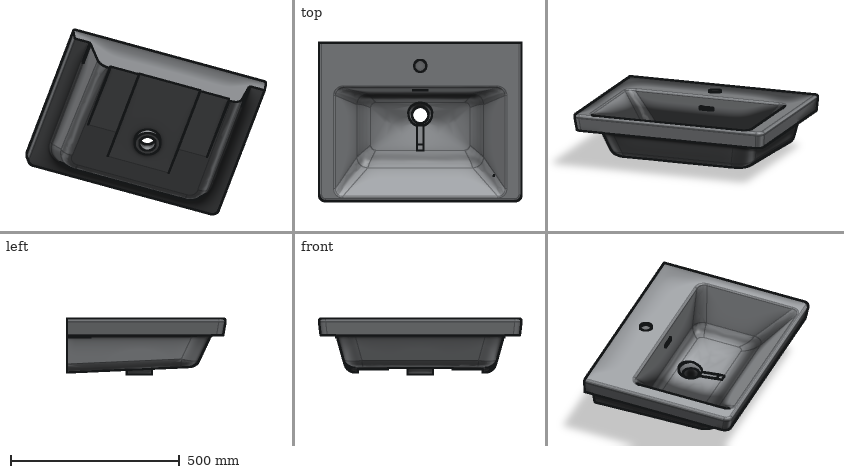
import cadquery as cq
import math


WIDTH = 600.0
DEPTH = 470.32
HEIGHT = 166.35
OVERLAP = 5.0

SLAB_BOTTOM = -50.0
SLAB_CORNER_RADIUS = 20.0
RIM_BAND = 10.0
RIM_RADIUS = 8.0
SLAB_SIDE_DRAFT = 4.5
SLAB_FRONT_DRAFT = 7.2
SLAB_BOTTOM_RADIUS = 2.0

BODY_TOP_HALF_WIDTH = 248.0
BODY_SIDE_ANGLE = 15.5
BODY_BACK_BOTTOM = -160.5
BODY_FRONT_BOTTOM = -143.5
BODY_TOP_FRONT = 427.0
BODY_BOTTOM_FRONT = 383.0
BODY_CORNER_RADIUS = 55.0
BODY_LOWER_RADIUS = 35.0
BODY_NECK_RADIUS = 8.0
UNDERSIDE_STEPS = (
    (185.0, -151.0),
    (95.0, -147.0),
)
SHOULDER_HALF_WIDTH = 249.0
SHOULDER_LENGTH = 70.0
SHOULDER_BOTTOM = -57.0

FLOOR_LEVEL = -112.0
FLOOR_HALF_WIDTH = 147.0
FLOOR_BACK = 177.6
FLOOR_FRONT = 318.8
FLOOR_CORNER_RADIUS = 15.0
FLOOR_LOW_LEVEL = -121.0
BLEND_HEIGHT = 22.0
BLEND_STEPS = 4
SIDE_BLEND_RADIUS = 48.0
BACK_BLEND_RADIUS = 26.0
FRONT_BLEND_RADIUS = 72.5
BLEND_CORNER_RADIUS = 32.0
MOUTH_HALF_WIDTH = 253.0
MOUTH_BACK = 134.0
MOUTH_FRONT = 457.0
MOUTH_CORNER_RADIUS = 22.0
MOUTH_RADIUS = 7.0

DRAIN_BACK = 214.8
DRAIN_HOLE_RADIUS = 24.0
DRAIN_RIM_RADIUS = 37.0
DRAIN_RIM_LEVEL = -118.0
DRAIN_CONE_BOTTOM = -131.0
DRAIN_BOSS_RADIUS = 38.0
GROOVE_HALF_WIDTH = 10.0
GROOVE_DEPTH = 2.0

TAP_BACK = 69.0
TAP_DIAMETER = 36.0
TAP_DEPTH = 8.0
OVERFLOW_LEVEL = -36.0
OVERFLOW_LENGTH = 44.0
OVERFLOW_HEIGHT = 9.0
OVERFLOW_FRONT = 150.0
OVERFLOW_BOTTOM = 132.0


def box(half_width, back, front, bottom, top):
    """Box centred on X, between two distances from the back and two levels."""
    solid = cq.Workplane("XY", origin=(0, -(back + front) / 2, bottom))
    return solid.rect(2 * half_width, front - back).extrude(top - bottom)


def wall_outline(half_width, depth, radius, level):
    """Outline with square corners at the wall and rounded corners at the front."""
    mid = radius * (1 - math.sqrt(0.5))
    return (
        cq.Workplane("XY", origin=(0, 0, level))
        .moveTo(-half_width, 0)
        .lineTo(-half_width, -depth + radius)
        .threePointArc((-half_width + mid, -depth + mid), (-half_width + radius, -depth))
        .lineTo(half_width - radius, -depth)
        .threePointArc((half_width - mid, -depth + mid), (half_width, -depth + radius))
        .lineTo(half_width, 0)
        .close()
    )


def make_slab():
    half = WIDTH / 2
    band = wall_outline(half, DEPTH, SLAB_CORNER_RADIUS, -RIM_BAND).extrude(RIM_BAND)
    band = band.faces(">Z").edges("not >Y").fillet(RIM_RADIUS)
    top_wire = wall_outline(half, DEPTH, SLAB_CORNER_RADIUS, -RIM_BAND).val()
    bottom_wire = wall_outline(
        half - SLAB_SIDE_DRAFT, DEPTH - SLAB_FRONT_DRAFT, SLAB_CORNER_RADIUS, SLAB_BOTTOM
    ).val()
    skirt = cq.Workplane(cq.Solid.makeLoft([bottom_wire, top_wire], True))
    skirt = skirt.faces("<Z").edges("not >Y").fillet(SLAB_BOTTOM_RADIUS)
    return band.union(skirt)


def body_outline(level):
    """Body outline at a level: sides and front lean inwards below the slab."""
    drop = SLAB_BOTTOM - level
    side_inset = drop * math.tan(math.radians(BODY_SIDE_ANGLE))
    front_slope = (BODY_TOP_FRONT - BODY_BOTTOM_FRONT) / (SLAB_BOTTOM - BODY_FRONT_BOTTOM)
    return wall_outline(
        BODY_TOP_HALF_WIDTH - side_inset,
        BODY_TOP_FRONT - drop * front_slope,
        BODY_CORNER_RADIUS,
        level,
    ).val()


def make_body():
    """Leaning walls cut by a sloping underside, rounded along the lower edges."""
    top = SLAB_BOTTOM + OVERLAP
    body = cq.Workplane(cq.Solid.makeLoft([body_outline(-HEIGHT), body_outline(top)], True))
    profile = (
        cq.Workplane("YZ")
        .polyline([
            (0, top),
            (0, BODY_BACK_BOTTOM),
            (-BODY_BOTTOM_FRONT, BODY_FRONT_BOTTOM),
            (-DEPTH, BODY_FRONT_BOTTOM),
            (-DEPTH, top),
        ])
        .close()
        .extrude(WIDTH / 2, both=True)
    )
    body = body.intersect(profile)
    body = body.faces("<Z").edges("not >Y").fillet(BODY_LOWER_RADIUS)

    for half_width, level in UNDERSIDE_STEPS:
        body = body.cut(box(half_width, 0, DEPTH, -HEIGHT, level))
    shoulders = box(SHOULDER_HALF_WIDTH, 0, SHOULDER_LENGTH, SHOULDER_BOTTOM, top)
    return body.union(shoulders)


def make_drain_boss():
    boss = cq.Workplane("XY", origin=(0, -DRAIN_BACK, -HEIGHT)).circle(DRAIN_BOSS_RADIUS)
    return boss.extrude(HEIGHT + DRAIN_CONE_BOTTOM)


def basin_section(half_width, back, front, radius, level):
    sketch = cq.Sketch().rect(2 * half_width, front - back).vertices().fillet(radius)
    wire = sketch._faces.Faces()[0].outerWire()
    return wire.moved(cq.Location(cq.Vector(0, -(back + front) / 2, level)))


def blend_section(height):
    """Basin outline at a height above the floor, within the round at the wall foot."""
    def spread(radius):
        return math.sqrt(2 * radius * height - height ** 2)

    corner_growth = (BLEND_CORNER_RADIUS - FLOOR_CORNER_RADIUS) * math.sqrt(height / BLEND_HEIGHT)
    return basin_section(
        FLOOR_HALF_WIDTH + spread(SIDE_BLEND_RADIUS),
        FLOOR_BACK - spread(BACK_BLEND_RADIUS),
        FLOOR_FRONT + spread(FRONT_BLEND_RADIUS),
        FLOOR_CORNER_RADIUS + corner_growth,
        FLOOR_LEVEL + height,
    )


def make_basin():
    """Space inside the basin: flat floor, rounded foot, straight leaning walls."""
    heights = [BLEND_HEIGHT * (step / BLEND_STEPS) ** 2 for step in range(BLEND_STEPS + 1)]
    foot = cq.Solid.makeLoft([blend_section(height) for height in heights], False)
    mouth = basin_section(MOUTH_HALF_WIDTH, MOUTH_BACK, MOUTH_FRONT, MOUTH_CORNER_RADIUS, 0)
    walls = cq.Solid.makeLoft([blend_section(BLEND_HEIGHT), mouth], True)
    return cq.Workplane(walls).union(cq.Workplane(foot))


def make_floor_dish():
    """Shallow smooth fall from the floor edges down to the drain."""
    outline = basin_section(FLOOR_HALF_WIDTH, FLOOR_BACK, FLOOR_FRONT, FLOOR_CORNER_RADIUS, FLOOR_LEVEL)
    low_point = cq.Vector(0, -DRAIN_BACK, FLOOR_LOW_LEVEL)
    dished_face = cq.Face.makeNSidedSurface(outline.Edges(), [low_point])
    flat_face = cq.Face.makeFromWires(outline)
    return cq.Workplane(cq.Solid.makeSolid(cq.Shell.makeShell([dished_face, flat_face])))


def make_drain_hole():
    return (
        cq.Workplane("XZ", origin=(0, -DRAIN_BACK, 0))
        .polyline([
            (0, -HEIGHT),
            (DRAIN_HOLE_RADIUS, -HEIGHT),
            (DRAIN_HOLE_RADIUS, DRAIN_CONE_BOTTOM),
            (DRAIN_RIM_RADIUS, DRAIN_RIM_LEVEL),
            (DRAIN_RIM_RADIUS, FLOOR_LEVEL),
            (0, FLOOR_LEVEL),
        ])
        .close()
        .revolve(360, (0, 0, 0), (0, 1, 0))
    )


def make_groove(floor_dish):
    """Shallow groove of even depth in the dished floor, from the drain to its front edge."""
    strip = box(GROOVE_HALF_WIDTH, DRAIN_BACK, FLOOR_FRONT, -HEIGHT, 0)
    return floor_dish.translate((0, 0, -GROOVE_DEPTH)).intersect(strip)


def make_tap_hole():
    hole = cq.Workplane("XY", origin=(0, -TAP_BACK, 0)).circle(TAP_DIAMETER / 2)
    return hole.extrude(-TAP_DEPTH)


def make_overflow():
    slot = cq.Workplane("XZ", origin=(0, -OVERFLOW_BOTTOM, OVERFLOW_LEVEL))
    return slot.slot2D(OVERFLOW_LENGTH, OVERFLOW_HEIGHT).extrude(OVERFLOW_FRONT - OVERFLOW_BOTTOM)


def round_neck(part):
    """Hollow round between the slab underside and the body."""
    neck = cq.selectors.BoxSelector(
        (-BODY_TOP_HALF_WIDTH - 1, -BODY_TOP_FRONT - 1, SLAB_BOTTOM - 1),
        (BODY_TOP_HALF_WIDTH + 1, -BODY_BOTTOM_FRONT + 60, SLAB_BOTTOM + 1),
        boundingbox=True,
    )
    return part.edges(neck).fillet(BODY_NECK_RADIUS)


def round_mouth(part):
    """Round the upper edge of the basin, found as the deck edges clear of the rim and tap."""
    inside = cq.selectors.BoxSelector(
        (-MOUTH_HALF_WIDTH - 1, -MOUTH_FRONT - 1, -1),
        (MOUTH_HALF_WIDTH + 1, -MOUTH_BACK + 1, 1),
        boundingbox=True,
    )
    return part.edges(inside).fillet(MOUTH_RADIUS)


part = round_neck(make_slab().union(make_body())).union(make_drain_boss())
part = round_mouth(part.cut(make_basin()))

floor_dish = make_floor_dish()
cutters = (
    floor_dish,
    make_groove(floor_dish),
    make_drain_hole(),
    make_tap_hole(),
    make_overflow(),
)
for cutter in cutters:
    part = part.cut(cutter)

result = part